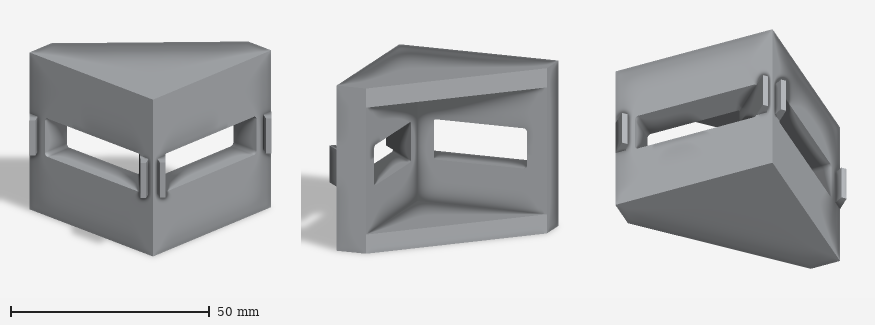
import cadquery as cq

overall = 46.2
leg = 43.0
wall = 8.0
gusset = 5.0
slot_height = 10.5
slot_corner = 0.92
slot_start = 5.4
second_hook_start = 38.5
hook_reach = overall - leg
hook_height = 9.6
hook_base = 2.9
hook_tip_run = 4.2
hook_tip_rise = 2.15

mid_height = leg / 2
slope_corner = (slot_height - hook_height) / 2


def prism(points, height):
    """Extrude an XY outline, centred on the bracket's mid height."""
    sketch = cq.Workplane("XY", origin=(0, 0, mid_height)).polyline(points).close()
    return sketch.extrude(height / 2, both=True)


def across_corner(shape):
    """Mirror a feature of the front wall onto the side wall, across the line x + y = leg."""
    turned = shape.rotate((0, 0, 0), (0, 0, 1), 90)
    return turned.mirror("XZ").translate((leg, leg, 0))


def make_body():
    """Right-angle bracket, hollow between its two gusset plates."""
    outline = [(0, 0), (leg, 0), (leg, leg), (leg - wall, leg), (0, wall)]
    inside_corner = leg - wall
    hollow = [(0, wall), (inside_corner, wall), (inside_corner, leg), (0, leg)]
    return prism(outline, leg).cut(prism(hollow, leg - 2 * gusset))


def make_slot():
    """Slot through the front wall; one end slopes at 45 degrees, in line with the second hook."""
    outline = [
        (slot_start, 0),
        (second_hook_start, 0),
        (second_hook_start - wall, wall),
        (slot_start, wall),
    ]
    slope = cq.selectors.ParallelDirSelector(cq.Vector(-1, 1, 0))
    slot = prism(outline, slot_height)
    return slot.edges("|Y").fillet(slot_corner).edges(slope).fillet(slope_corner)


def make_hook(start):
    """Slanted hook on the outer face of the front wall."""
    outline = [
        (start, 0),
        (start + hook_reach, -hook_reach),
        (start + hook_tip_run, -hook_tip_rise),
        (start + hook_base, 0),
    ]
    return prism(outline, hook_height)


slot = make_slot()
result = make_body().cut(slot).cut(across_corner(slot))
for start in (0, second_hook_start):
    hook = make_hook(start)
    result = result.union(hook).union(across_corner(hook))